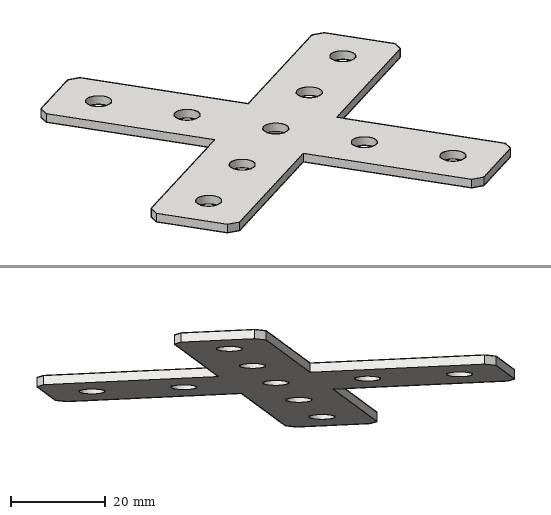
import cadquery as cq

span = 100.0
arm_width = 20.0
thickness = 2.0
corner_chamfer = 2.0
hole_diameter = 5.5
hole_pitch = arm_width
holes_per_row = 5


def arm_bar(length_x, length_y):
    """Flat bar with its four outer corners cut at 45 degrees."""
    bar = cq.Workplane("XY").box(length_x, length_y, thickness)
    return bar.edges("|Z").chamfer(corner_chamfer)


def hole_centers():
    """Evenly spaced centers along both arms, sharing the middle hole."""
    middle = (holes_per_row - 1) / 2
    offsets = [(i - middle) * hole_pitch for i in range(holes_per_row)]
    along_x = [(offset, 0) for offset in offsets]
    along_y = [(0, offset) for offset in offsets if offset != 0]
    return along_x + along_y


plate = arm_bar(span, arm_width).union(arm_bar(arm_width, span))

result = plate.faces(">Z").workplane(origin=(0, 0, 0)).pushPoints(hole_centers()).hole(hole_diameter)